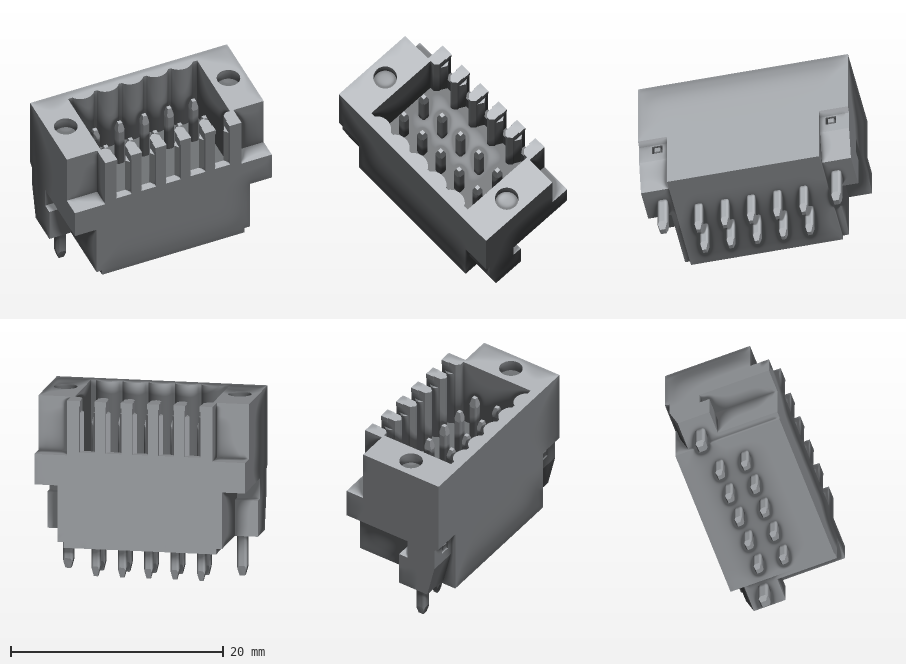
import cadquery as cq

LENGTH = 20.25
DEPTH = 10.5
TOP = 17.7
BODY_BOTTOM = 3.5
FOOT_BOTTOM = 4.05
CORE_HALF_LENGTH = 7.33

PIN_COUNT = 5
PITCH = 2.53
PIN_ROWS_X = (3.67, 6.22)
PIN_SIZE = 0.83
PIN_TIP_SIZE = 0.38
PIN_FILLET = 0.25
PIN_TOP = 15.54
TIP_LENGTH = 0.97

ANCHOR_X = 3.02
ANCHOR_Y = 8.37
ANCHOR_SIZE = 1.01
ANCHOR_TIP_SIZE = 0.53
ANCHOR_FILLET = 0.3
ANCHOR_PORT_Z = 9.04
ANCHOR_TOP = 7.5

CAVITY_FLOOR = 10.6
CAVITY_X_MIN = 0.93
CAVITY_X_MAX = 8.6
CAVITY_HALF_LENGTH = 6.65
SCALLOP_HEIGHT = 0.59
SCALLOP_HALF_WIDTH = 1.11

SLOT_HALF_WIDTH = 0.77
SLOT_CHAMFER = 0.36
SLOT_LEDGE_X = 9.72
SLOT_LEDGE_Z = 12.76
TAB_HEIGHT = 0.5
TAB_THICKNESS = 0.07
RIB_TOP = 16.53
RIB_HEIGHT = 0.32
RIB_X_MIN = 9.12
RIB_X_MAX = 10.15

HOLE_X = 4.34
HOLE_DIAMETER = 2.23
HOLE_DEPTH = 1.11

TOP_NOTCH_HALF_GAP = 7.0
TOP_NOTCH_Z = 12.44
SIDE_POCKET_HALF_GAP = 7.9
SIDE_POCKET_TOP = 9.5
SIDE_POCKET_STEP_Z = 7.52
SIDE_POCKET_UPPER_X = 3.53
SIDE_POCKET_LOWER_X = 4.5

FOOT_FACE_X = 0.49
FOOT_BOTTOM_X = 1.3
FOOT_RELIEF_TOP = 10.09
FOOT_FACE_TOP = 9.72
FOOT_FACE_BOTTOM = 7.5

HALF_LENGTH = LENGTH / 2
PIN_Y = [(i - (PIN_COUNT - 1) / 2) * PITCH for i in range(PIN_COUNT)]


def block(x0, x1, y0, y1, z0, z1):
    """Box given by its limits along each axis."""
    return cq.Workplane("XY").box(x1 - x0, y1 - y0, z1 - z0, centered=False).translate((x0, y0, z0))


def both_ends(shape):
    """The shape together with its mirror image across Y = 0."""
    return shape.union(shape.mirror("XZ"))


def end_prism(points, inner_y):
    """Prism with an XZ outline, running from inner_y to the end face, at both ends."""
    prism = cq.Workplane("XZ").polyline(points).close().extrude(HALF_LENGTH - inner_y)
    return both_ends(prism.translate((0, -inner_y, 0)))


def vertical_prism(points, y, z0, z1):
    """Prism with an XY outline placed around the given Y."""
    return cq.Workplane("XY").polyline(points).close().extrude(z1 - z0).translate((0, y, z0))


def frustum(base_size, tip_size, height):
    """Square frustum standing on Z = 0, or hanging below it for a negative height."""
    lower = cq.Workplane("XY").rect(base_size, base_size)
    return lower.workplane(offset=height).rect(tip_size, tip_size).loft()


def body_block():
    body = block(0, DEPTH, -HALF_LENGTH, HALF_LENGTH, FOOT_BOTTOM, TOP)
    core = block(0, DEPTH, -CORE_HALF_LENGTH, CORE_HALF_LENGTH, BODY_BOTTOM, TOP)
    return body.union(core)


def foot_relief():
    outline = [
        (0, FOOT_BOTTOM),
        (0, FOOT_RELIEF_TOP),
        (FOOT_FACE_X, FOOT_FACE_TOP),
        (FOOT_FACE_X, FOOT_FACE_BOTTOM),
        (FOOT_BOTTOM_X, FOOT_BOTTOM),
    ]
    return end_prism(outline, CORE_HALF_LENGTH)


def top_notches():
    return both_ends(block(CAVITY_X_MAX, DEPTH, TOP_NOTCH_HALF_GAP, HALF_LENGTH, TOP_NOTCH_Z, TOP))


def side_pockets():
    outline = [
        (DEPTH, FOOT_BOTTOM),
        (DEPTH, SIDE_POCKET_TOP),
        (SIDE_POCKET_UPPER_X, SIDE_POCKET_TOP),
        (SIDE_POCKET_UPPER_X, SIDE_POCKET_STEP_Z),
        (SIDE_POCKET_LOWER_X, SIDE_POCKET_STEP_Z),
        (SIDE_POCKET_LOWER_X, FOOT_BOTTOM),
    ]
    return end_prism(outline, SIDE_POCKET_HALF_GAP)


def screw_holes():
    centers = [(HOLE_X, -ANCHOR_Y), (HOLE_X, ANCHOR_Y)]
    floor = cq.Workplane("XY").workplane(offset=TOP - HOLE_DEPTH)
    return floor.pushPoints(centers).circle(HOLE_DIAMETER / 2).extrude(HOLE_DEPTH)


def cavity():
    """Open-topped cavity whose -X wall bulges in beside every pin."""
    outline = cq.Workplane("XY").moveTo(CAVITY_X_MAX, -CAVITY_HALF_LENGTH)
    outline = outline.lineTo(CAVITY_X_MIN, -CAVITY_HALF_LENGTH)
    for y in PIN_Y:
        outline = outline.lineTo(CAVITY_X_MIN, y - SCALLOP_HALF_WIDTH)
        outline = outline.threePointArc(
            (CAVITY_X_MIN + SCALLOP_HEIGHT, y),
            (CAVITY_X_MIN, y + SCALLOP_HALF_WIDTH),
        )
    outline = outline.lineTo(CAVITY_X_MIN, CAVITY_HALF_LENGTH)
    outline = outline.lineTo(CAVITY_X_MAX, CAVITY_HALF_LENGTH)
    return outline.close().extrude(TOP - CAVITY_FLOOR).translate((0, 0, CAVITY_FLOOR))


def slot(y):
    """Stepped slot with a flared mouth, narrowed by ribs on its sides and tabs at its top."""
    mouth = SLOT_HALF_WIDTH + SLOT_CHAMFER
    throat_x = CAVITY_X_MAX + SLOT_CHAMFER
    inner_outline = [
        (CAVITY_X_MAX, -mouth),
        (throat_x, -SLOT_HALF_WIDTH),
        (SLOT_LEDGE_X, -SLOT_HALF_WIDTH),
        (SLOT_LEDGE_X, SLOT_HALF_WIDTH),
        (throat_x, SLOT_HALF_WIDTH),
        (CAVITY_X_MAX, mouth),
    ]
    opening = vertical_prism(inner_outline, y, CAVITY_FLOOR, TOP)
    opening = opening.union(
        block(SLOT_LEDGE_X, DEPTH, y - SLOT_HALF_WIDTH, y + SLOT_HALF_WIDTH, SLOT_LEDGE_Z, TOP)
    )
    for side in (-1, 1):
        wall = side * SLOT_HALF_WIDTH
        rib_outline = [
            (RIB_X_MIN, wall),
            (SLOT_LEDGE_X, wall - side * RIB_HEIGHT),
            (RIB_X_MAX, wall),
        ]
        opening = opening.cut(vertical_prism(rib_outline, y, CAVITY_FLOOR, RIB_TOP))
        tab_y = sorted((y + wall, y + wall - side * TAB_THICKNESS))
        opening = opening.cut(block(SLOT_LEDGE_X, DEPTH, *tab_y, TOP - TAB_HEIGHT, TOP))
    return opening


def anchor_ports():
    """Square ports in the feet, each filled by the tapered end of a bent fixing pin."""
    tip = frustum(ANCHOR_SIZE, ANCHOR_TIP_SIZE, TIP_LENGTH)
    port = cq.Workplane("XY").rect(ANCHOR_SIZE, ANCHOR_SIZE).extrude(TIP_LENGTH).cut(tip)
    port = port.rotate((0, 0, 0), (0, 1, 0), -90)
    return both_ends(port.translate((FOOT_FACE_X + TIP_LENGTH, ANCHOR_Y, ANCHOR_PORT_Z)))


def pin(size, tip_size, fillet, top, top_taper):
    """Square pin with rounded edges and a tapered lower end, and a tapered upper end if asked."""
    shaft_top = top - top_taper
    bar = cq.Workplane("XY").rect(size, size).extrude(top).edges("|Z").fillet(fillet)
    envelope = cq.Workplane("XY").rect(size, size).extrude(shaft_top - TIP_LENGTH)
    envelope = envelope.translate((0, 0, TIP_LENGTH))
    envelope = envelope.union(frustum(size, tip_size, -TIP_LENGTH).translate((0, 0, TIP_LENGTH)))
    if top_taper:
        envelope = envelope.union(frustum(size, tip_size, top_taper).translate((0, 0, shaft_top)))
    return bar.intersect(envelope)


result = body_block()
for cutter in (foot_relief(), top_notches(), side_pockets(), screw_holes(), cavity(), anchor_ports()):
    result = result.cut(cutter)
for pin_y in PIN_Y:
    result = result.cut(slot(pin_y))

contact_pin = pin(PIN_SIZE, PIN_TIP_SIZE, PIN_FILLET, PIN_TOP, TIP_LENGTH)
for pin_y in PIN_Y:
    for pin_x in PIN_ROWS_X:
        result = result.union(contact_pin.translate((pin_x, pin_y, 0)))

anchor_pin = pin(ANCHOR_SIZE, ANCHOR_TIP_SIZE, ANCHOR_FILLET, ANCHOR_TOP, 0)
for anchor_y in (-ANCHOR_Y, ANCHOR_Y):
    result = result.union(anchor_pin.translate((ANCHOR_X, anchor_y, 0)))